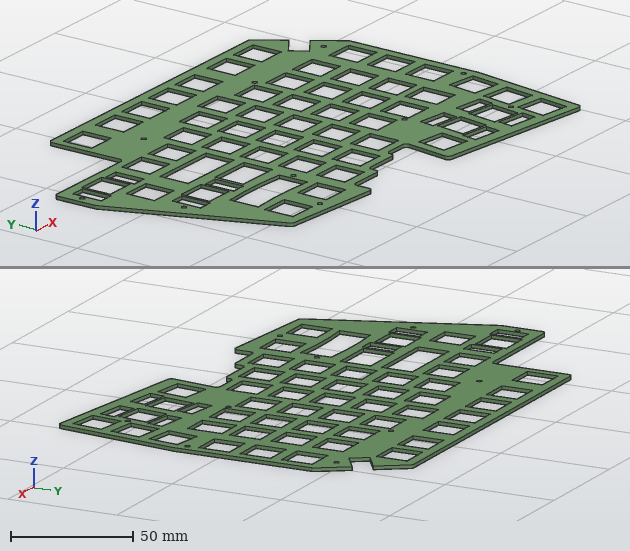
import cadquery as cq
import math

width = 216.5
depth = 155.7
thickness = 1.6
corner_radius = 2.0

pitch = 19.0
opening = 14.0
narrow_opening = 13.2
tall_opening = 15.8
narrow_key_y = 57.8

slot_width = 7.0
slot_reach = 12.0
slot_shift = 1.3

left_row_y = [107.2 - pitch * row for row in range(5)]
left_inner_x = 49.8
left_outer_x = 68.6
upper_stabilised_x = 21.2
lower_stabilised_x = 37.7
lone_key_x = 25.5
bottom_key_x = (42.7, 66.5)
left_block_edge = left_outer_x + opening / 2
double_opening = left_outer_x - left_inner_x + opening
short_wide_opening = 20.8
space_width = 35.3
space_x = 54.4
space_y = 49.0
space_rise = 0.9

first_column_x = 87.7
columns = [(112.5, 5), (118.0, 5), (122.1, 5), (117.0, 4), (114.5, 4), (114.5, 3)]
last_column_x = first_column_x + pitch * (len(columns) - 1)
right_column_x = 204.9
right_column_y = 111.5
right_column_count = 3

function_y = 144.0
escape_x = 60.9
group_gap = 23.0
function_group_count = 4

cluster_angle = 8.0
cluster_x = 198.5
cluster_y = 12.8
cluster_lift = 2.4
cluster_width = 80.5

step_x = 49.8
shelf_y = 118.2
top_right_x = 194.0
bevel_end_y = 121.5
right_turn_y = 57.0
left_turn_y = 97.5
bottom_left = (29.0, 19.5)
bottom_right = (80.3, 15.0)
steps = [(99.2, 25.0), (118.2, 30.5)]
bay_y = 34.6

notch_width = 8.7
notch_depth = 12.3
notch_from_top = 20.5

screw_diameter = 2.2
screw_points = [
    (205.0, 126.2), (75.0, 125.5), (154.6, 125.5), (4.0, 107.0), (19.0, 66.7),
    (212.0, 61.3), (75.0, 50.9), (154.6, 50.9), (54.4, 23.4), (191.2, 23.2),
]


def along_cluster(origin, u, v):
    """Point at (u, v) from origin, along the turned axes of the thumb cluster."""
    turn = math.radians(cluster_angle)
    x = origin[0] + u * math.cos(turn) + v * math.sin(turn)
    y = origin[1] - u * math.sin(turn) + v * math.cos(turn)
    return (x, y)


def window(x, y, size_x=opening, size_y=opening, angle=0.0):
    """Rectangular through-cutter centred at (x, y)."""
    cutter = cq.Workplane("XY").rect(size_x, size_y).extrude(thickness)
    return cutter.rotate((0, 0, 0), (0, 0, 1), angle).translate((x, y, 0))


def outline_plate():
    """Plate blank with every outline corner rounded."""
    slope = math.tan(math.radians(cluster_angle))
    apex = along_cluster((0, corner_radius), corner_radius, -corner_radius)
    cluster_right = (width - (right_turn_y - apex[1]) * slope, apex[1])
    cluster_left = along_cluster(cluster_right, -cluster_width, 0)
    bay_right = (cluster_left[0] + (bay_y - cluster_left[1]) * slope, bay_y)
    points = [(0, left_turn_y), bottom_left, bottom_right]
    x = bottom_right[0]
    for step_end, step_y in steps:
        points += [(x, step_y), (step_end, step_y)]
        x = step_end
    points += [(x, bay_y), bay_right, cluster_left, cluster_right]
    points += [(width, right_turn_y), (width, bevel_end_y)]
    points += [(top_right_x, depth), (step_x, depth), (step_x, shelf_y), (0, shelf_y)]
    blank = cq.Workplane("XY").polyline(points).close().extrude(thickness)
    return blank.edges("|Z").fillet(corner_radius)


def bevel_notch():
    """Cutter for the open notch square to the upper right bevel."""
    bevel_x = width - top_right_x
    bevel_y = bevel_end_y - depth
    fraction = notch_from_top / math.hypot(bevel_x, bevel_y)
    middle_x = top_right_x + fraction * bevel_x
    middle_y = depth + fraction * bevel_y
    angle = math.degrees(math.atan2(bevel_y, bevel_x))
    return window(middle_x, middle_y, notch_width, 2 * notch_depth, angle)


def space_bar_window():
    """Wide opening whose two long sides bow gently upward."""
    half = space_width / 2
    low = -opening / 2
    high = opening / 2
    return (
        cq.Workplane("XY")
        .moveTo(-half, low)
        .threePointArc((0, low + space_rise), (half, low))
        .lineTo(half, high)
        .threePointArc((0, high + space_rise), (-half, high))
        .close()
        .extrude(thickness)
        .translate((space_x, space_y, 0))
    )


def stabilised_key(x, y):
    """Upright switch opening with a stabiliser slot on its left and right."""
    cutters = [window(x, y)]
    for side in (-1, 1):
        cutters.append(window(x + side * slot_reach, y - slot_shift, slot_width))
    return cutters


def left_block():
    row = left_row_y
    cutters = stabilised_key(upper_stabilised_x, row[0])
    cutters += [window(left_inner_x, row[0]), window(left_outer_x, row[0])]
    cutters.append(window(lone_key_x, row[1]))
    cutters.append(window((left_inner_x + left_outer_x) / 2, row[1], double_opening))
    cutters += stabilised_key(lower_stabilised_x, row[2])
    cutters.append(window(left_block_edge - short_wide_opening / 2, row[2], short_wide_opening))
    cutters.append(space_bar_window())
    cutters += [window(x, row[4]) for x in bottom_key_x]
    return cutters


def main_columns():
    cutters = []
    for index, (top_y, count) in enumerate(columns):
        for row in range(count):
            cutters.append(window(first_column_x + index * pitch, top_y - row * pitch))
    cutters.append(window(last_column_x, narrow_key_y, narrow_opening, tall_opening))
    for row in range(right_column_count):
        cutters.append(window(right_column_x, right_column_y - row * pitch))
    return cutters


def function_row():
    first_x = escape_x + group_gap
    key_x = [escape_x] + [first_x + pitch * key for key in range(function_group_count)]
    key_x += [last_column_x - pitch, last_column_x]
    return [window(x, function_y) for x in key_x]


def thumb_cluster():
    corner_key = (cluster_x, cluster_y)
    places = [(0, pitch * row, opening, opening) for row in range(3)]
    places.append((-3 * pitch, cluster_lift, opening, opening))
    for column, shift in ((1, slot_shift), (2, -slot_shift)):
        u = -column * pitch
        v = pitch / 2
        places.append((u, v, opening, opening))
        for side in (-1, 1):
            places.append((u + shift, v + side * slot_reach, opening, slot_width))
    cutters = []
    for u, v, size_u, size_v in places:
        x, y = along_cluster(corner_key, u, v)
        cutters.append(window(x, y, size_u, size_v, -cluster_angle))
    return cutters


def screw_holes():
    return cq.Workplane("XY").pushPoints(screw_points).circle(screw_diameter / 2).extrude(thickness)


cutters = [bevel_notch(), screw_holes()]
cutters += left_block() + main_columns() + function_row() + thumb_cluster()
cutting_solids = cq.Compound.makeCompound([solid for cutter in cutters for solid in cutter.vals()])
result = outline_plate().cut(cq.Workplane(cutting_solids))